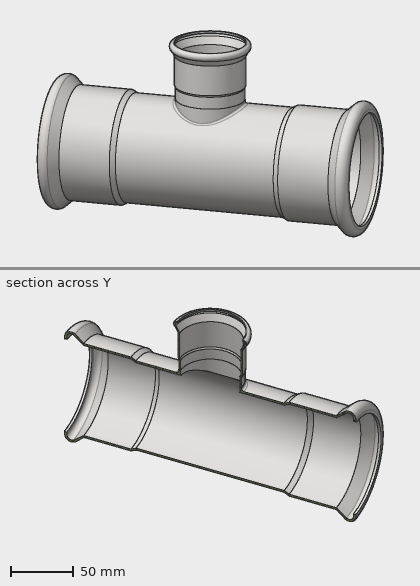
import cadquery as cq
import math

run_length = 260.0
run_rim_diameter = 109.5
run_wall = 2.3
run_bead_radius = 6.2
run_bead_circle = run_rim_diameter / 2 - run_bead_radius
run_lip_radius = 45.8
run_cone_start = 9.5
run_cone_end = 17.5
run_step_start = 59.5
run_step_end = 64.0
run_socket_length = 78.0
run_socket_radius = 46.8
run_tube_radius = 44.5
run_tube_bore = run_tube_radius - run_wall

overall_height = 149.8
branch_top = overall_height - run_rim_diameter / 2
branch_wall = 1.8
branch_rim_diameter = 65.8
branch_bead_width = 6.5
branch_bead_radius = branch_bead_width / 2
branch_bead_circle = branch_rim_diameter / 2 - branch_bead_radius
branch_lip_radius = 28.9
branch_cone_start = 6.0
branch_cone_end = 10.7
branch_step_start = 35.5
branch_step_end = 37.2
branch_socket_radius = 28.9
neck_radius = 28.0
neck_bore = neck_radius - branch_wall
seam_height = 47.8
neck_fillet = 2.0


def press_socket(bead_radius, bead_circle, lip_radius, wall, cone_start, cone_end,
                 socket_radius, step_start, step_end, tube_radius, length):
    """Revolved press socket along Z: mouth at Z = 0, plain tube end at Z = -length."""
    groove_radius = bead_radius - wall
    cone_angle = math.acos((cone_start - bead_radius) / bead_radius)
    mouth_angle = math.pi
    middle_angle = (cone_angle + mouth_angle) / 2

    def bead_point(radius, angle):
        """Point on the bead's section; angle 0 points down the tube, 90 degrees outward."""
        return (bead_circle + radius * math.sin(angle),
                -bead_radius - radius * math.cos(angle))

    profile = (
        cq.Workplane("XZ")
        .moveTo(lip_radius, 0)
        .lineTo(bead_circle, 0)
        .threePointArc(bead_point(bead_radius, middle_angle), bead_point(bead_radius, cone_angle))
        .lineTo(socket_radius, -cone_end)
        .lineTo(socket_radius, -step_start)
        .lineTo(tube_radius, -step_end)
        .lineTo(tube_radius, -length)
        .lineTo(tube_radius - wall, -length)
        .lineTo(tube_radius - wall, -step_end)
        .lineTo(socket_radius - wall, -step_start)
        .lineTo(socket_radius - wall, -cone_end)
        .lineTo(*bead_point(groove_radius, cone_angle))
        .threePointArc(bead_point(groove_radius, middle_angle), (bead_circle, -wall))
        .lineTo(lip_radius, -wall)
        .close()
    )
    return profile.revolve(360, (0, 0, 0), (0, 1, 0))


def x_cylinder(radius, half_length):
    """Solid cylinder along X, centred on the origin."""
    return cq.Workplane("YZ").workplane(offset=-half_length).circle(radius).extrude(2 * half_length)


def make_tee():
    """Main tube with a socket at each end and a short filleted neck for the branch."""
    half_length = run_length / 2
    tube_half_length = half_length - run_step_end

    middle = x_cylinder(run_tube_radius, tube_half_length)
    neck = cq.Workplane("XY").circle(neck_radius).extrude(seam_height)
    reach = neck_radius + neck_fillet
    neck_root = cq.selectors.BoxSelector(
        (-reach, -reach, neck_fillet),
        (reach, reach, seam_height - neck_fillet / 2),
    )
    tee = middle.union(neck).edges(neck_root).fillet(neck_fillet)

    tee = tee.cut(x_cylinder(run_tube_bore, tube_half_length))
    tee = tee.cut(cq.Workplane("XY").circle(neck_bore).extrude(branch_top))

    for turn in (-90, 90):
        end_socket = press_socket(
            run_bead_radius, run_bead_circle, run_lip_radius, run_wall,
            run_cone_start, run_cone_end, run_socket_radius,
            run_step_start, run_step_end, run_tube_radius,
            run_socket_length,
        )
        end_socket = end_socket.translate((0, 0, half_length)).rotate((0, 0, 0), (0, 1, 0), turn)
        tee = tee.union(end_socket)
    return tee


def make_branch_socket():
    """Press socket standing on the flat end of the tee's neck."""
    return press_socket(
        branch_bead_radius, branch_bead_circle, branch_lip_radius, branch_wall,
        branch_cone_start, branch_cone_end, branch_socket_radius,
        branch_step_start, branch_step_end, neck_radius, branch_top - seam_height,
    ).translate((0, 0, branch_top))


tee = make_tee()
branch_socket = make_branch_socket()
result = cq.Compound.makeCompound([tee.val(), branch_socket.val()])